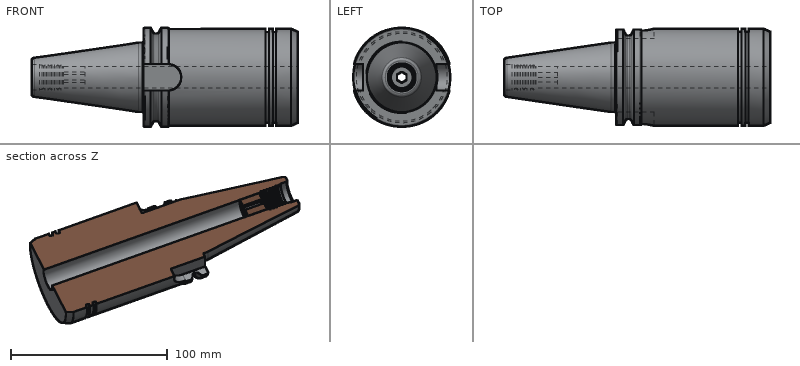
import cadquery as cq
import math

LENGTH = 169.8
BODY_DIAMETER = 62.0

TAPER_RATIO = 7 / 24
GAUGE_DIAMETER = 44.5
TAPER_LENGTH = 68.3
END_FILLET = 2.0
ROOT_FILLET = 0.5
SMALL_END_DIAMETER = GAUGE_DIAMETER - TAPER_LENGTH * TAPER_RATIO

FLANGE_DIAMETER = 63.4
FLANGE_START = 71.3
FLANGE_END = 87.6
FLANGE_FILLET = 1.0
V_GROOVE_CENTRE = 79.3
V_GROOVE_WIDTH = 6.8
V_GROOVE_BOTTOM_DIAMETER = 56.0
V_GROOVE_HALF_ANGLE = 29.0
V_GROOVE_FILLET = 1.2

SLOT_WIDTH = 16.8
SLOT_END = 95.5
SLOT_FLOOR_FRONT = 22.0
SLOT_FLOOR_BACK = 24.8

RING_GROOVE_STARTS = (149.3, 153.9)
RING_GROOVE_WIDTH = 2.0
RING_GROOVE_DIAMETER = 58.1
NOSE_DIAMETER = 58.1
NOSE_CHAMFER_LENGTH = 4.5

MOUTH_DIAMETER = 17.8
COUNTERBORE_DIAMETER = 16.3
COUNTERBORE_DEPTH = 5.0
LEAD_IN_DIAMETER = 15.5
LEAD_IN_END = 6.8
BORE_DIAMETER = 14.0

THREAD_DIAMETER = 16.0
THREAD_PITCH = 2.0
THREAD_RINGS = 6

SCREW_START = 20.4
SCREW_LENGTH = 13.6
HEX_ACROSS_FLATS = 6.0


def cylinder(diameter, start, length):
    """Cylinder on the X axis."""
    return cq.Workplane("YZ", origin=(start, 0, 0)).circle(diameter / 2).extrude(length)


def revolved(points):
    """Solid of revolution about the X axis from (X, radius) points."""
    return cq.Workplane("XY").polyline(points).close().revolve(360, (0, 0, 0), (1, 0, 0))


def make_shank():
    """Taper and short cylinder, flaring into the flange face through a root fillet."""
    gauge_radius = GAUGE_DIAMETER / 2
    fillet_start = FLANGE_START - ROOT_FILLET
    arc_sagitta = ROOT_FILLET * (1 - math.sqrt(0.5))
    shank = (
        cq.Workplane("XY")
        .lineTo(0, SMALL_END_DIAMETER / 2)
        .lineTo(TAPER_LENGTH, gauge_radius)
        .lineTo(fillet_start, gauge_radius)
        .threePointArc(
            (FLANGE_START - arc_sagitta, gauge_radius + arc_sagitta),
            (FLANGE_START, gauge_radius + ROOT_FILLET),
        )
        .lineTo(FLANGE_START, 0)
        .close()
        .revolve(360, (0, 0, 0), (1, 0, 0))
    )
    return shank.faces("<X").edges().fillet(END_FILLET)


def make_flange():
    flange = cylinder(FLANGE_DIAMETER, FLANGE_START, FLANGE_END - FLANGE_START)
    return flange.faces("<X or >X").edges().fillet(FLANGE_FILLET)


def make_body():
    nose_start = LENGTH - NOSE_CHAMFER_LENGTH
    body = revolved([
        (FLANGE_START + FLANGE_FILLET, 0),
        (FLANGE_START + FLANGE_FILLET, BODY_DIAMETER / 2),
        (nose_start, BODY_DIAMETER / 2),
        (LENGTH, NOSE_DIAMETER / 2),
        (LENGTH, 0),
    ])
    for start in RING_GROOVE_STARTS:
        ring = cylinder(FLANGE_DIAMETER, start, RING_GROOVE_WIDTH)
        body = body.cut(ring.cut(cylinder(RING_GROOVE_DIAMETER, start, RING_GROOVE_WIDTH)))
    return body


def make_v_groove():
    """Ring-shaped cutter of the flange groove, with rounded bottom corners."""
    outer_radius = FLANGE_DIAMETER / 2
    bottom_radius = V_GROOVE_BOTTOM_DIAMETER / 2
    top_half = V_GROOVE_WIDTH / 2
    bottom_half = top_half - (outer_radius - bottom_radius) * math.tan(math.radians(V_GROOVE_HALF_ANGLE))
    ring = revolved([
        (V_GROOVE_CENTRE - top_half, outer_radius),
        (V_GROOVE_CENTRE - bottom_half, bottom_radius),
        (V_GROOVE_CENTRE + bottom_half, bottom_radius),
        (V_GROOVE_CENTRE + top_half, outer_radius),
    ])
    bottom_edges = cq.selectors.RadiusNthSelector(0)
    return ring.edges(bottom_edges).fillet(V_GROOVE_FILLET)


def make_drive_slot(floor, side):
    """Slot cutter outside the given floor distance, on the side (+1 or -1) along Y."""
    half_width = SLOT_WIDTH / 2
    arc_centre = SLOT_END - half_width
    profile = (
        cq.Workplane("XZ", origin=(0, side * floor, 0))
        .moveTo(FLANGE_START, -half_width)
        .lineTo(arc_centre, -half_width)
        .threePointArc((SLOT_END, 0), (arc_centre, half_width))
        .lineTo(FLANGE_START, half_width)
        .close()
    )
    return profile.extrude(-side * FLANGE_DIAMETER / 2)


def make_bore():
    mouth_depth = (MOUTH_DIAMETER - COUNTERBORE_DIAMETER) / 2
    thread_start = LEAD_IN_END + (LEAD_IN_DIAMETER - BORE_DIAMETER) / 2
    profile = [
        (0, 0),
        (0, MOUTH_DIAMETER / 2),
        (mouth_depth, COUNTERBORE_DIAMETER / 2),
        (COUNTERBORE_DEPTH, COUNTERBORE_DIAMETER / 2),
        (COUNTERBORE_DEPTH, LEAD_IN_DIAMETER / 2),
        (LEAD_IN_END, LEAD_IN_DIAMETER / 2),
        (thread_start, BORE_DIAMETER / 2),
    ]
    for ring in range(THREAD_RINGS):
        root = thread_start + (ring + 0.5) * THREAD_PITCH
        profile.append((root, THREAD_DIAMETER / 2))
        profile.append((root + THREAD_PITCH / 2, BORE_DIAMETER / 2))
    profile += [(LENGTH, BORE_DIAMETER / 2), (LENGTH, 0)]
    return revolved(profile)


def make_holder():
    holder = make_shank().union(make_flange()).union(make_body())
    holder = holder.cut(make_v_groove())
    holder = holder.cut(make_drive_slot(SLOT_FLOOR_FRONT, -1))
    holder = holder.cut(make_drive_slot(SLOT_FLOOR_BACK, 1))
    return holder.cut(make_bore())


def make_screw():
    """Socket screw in the bore; two corners of its hexagon point along Z."""
    hex_across_corners = HEX_ACROSS_FLATS / math.cos(math.radians(30))
    socket = (
        cq.Workplane("YZ", origin=(SCREW_START, 0, 0))
        .transformed(rotate=(0, 0, 90))
        .polygon(6, hex_across_corners)
        .extrude(SCREW_LENGTH)
    )
    return cylinder(BORE_DIAMETER, SCREW_START, SCREW_LENGTH).cut(socket)


holder = make_holder()
screw = make_screw()
result = cq.Compound.makeCompound([holder.val(), screw.val()])